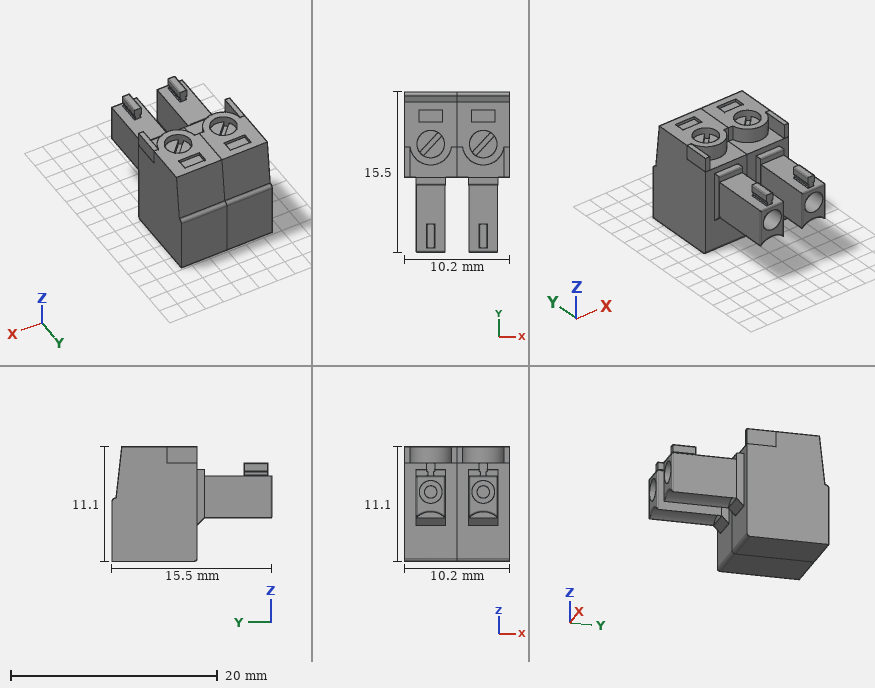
import cadquery as cq
import math


pitch = 5.08
block_height = 11.1
block_depth = 8.25
bottom_front_radius = 0.3

back_slope_run = 0.95
ledge_run = 0.4
ledge_height = 6.16
ledge_slope = 15
ledge_radius = 0.38

step_depth = 1.56
step_length = 2.93
step_floor = block_height - step_depth
end_wall = 0.52

screw_setback = 3.21
tower_radius = pitch / 2 - end_wall
screw_diameter = 2.66
screw_recess = 0.7
slot_width = 0.5
slot_depth = 0.5
slot_angle = 47

label_width = 2.3
label_length = 1.2
label_depth = 0.3
label_setback = 5.93

collar_width = 2.86
collar_length = 0.73
collar_top = 8.92
collar_edge_radius = 0.1

shroud_width = 2.8
shroud_length = 7.25
shroud_top = 8.28
shroud_height = 4.05
shroud_bottom = shroud_top - shroud_height
end_radius = 0.1
groove_rise = 0.58

bore_diameter = 2.21
bore_height = 6.73
pin_diameter = 1.2
pin_recess = 1.5

key_length = 2.3
key_end_gap = 0.42
key_height = 1.24
key_width = 0.8
key_edge_radius = 0.1
key_neck_width = 0.54
key_neck_top = 0.365
key_head_bottom = 0.47
key_foot = 0.1


def block():
    """Plain housing block, extruded from its side profile."""
    ledge_corner = ledge_height - ledge_run * math.tan(math.radians(ledge_slope))
    profile = (
        cq.Workplane("YZ")
        .moveTo(0, 0)
        .lineTo(block_depth, 0)
        .lineTo(block_depth, ledge_corner)
        .lineTo(block_depth - ledge_run, ledge_height)
        .lineTo(block_depth - back_slope_run, block_height)
        .lineTo(0, block_height)
        .close()
    )
    body = profile.extrude(pitch / 2, both=True)
    body = body.faces(">Y").edges(">Z").fillet(ledge_radius)
    return body.faces("<Y").edges("<Z").fillet(bottom_front_radius)


def step_cut():
    """Space removed across the whole top front, except for the round screw tower."""
    cut = cq.Workplane("XY", origin=(0, 0, step_floor)).box(
        pitch, step_length, step_depth, centered=(True, False, False)
    )
    tower = (
        cq.Workplane("XY", origin=(0, screw_setback, step_floor))
        .circle(tower_radius)
        .extrude(step_depth)
    )
    return cut.cut(tower)


def label_pocket():
    return cq.Workplane("XY", origin=(0, label_setback, block_height - label_depth)).box(
        label_width, label_length, label_depth, centered=(True, True, False)
    )


def screw_well():
    return (
        cq.Workplane("XY", origin=(0, screw_setback, block_height - screw_recess))
        .circle(screw_diameter / 2)
        .extrude(screw_recess)
    )


def collar():
    """Collar whose underside slopes at 45 degrees from the shroud back to the block."""
    body = (
        cq.Workplane("YZ")
        .polyline([
            (0, collar_top),
            (-collar_length, collar_top),
            (-collar_length, shroud_bottom),
            (0, shroud_bottom - collar_length),
        ])
        .close()
        .extrude(collar_width / 2, both=True)
    )
    return body.faces("<Y").edges(">Z").fillet(collar_edge_radius)


def shroud():
    """Plug shroud with an arched underside and a rounded front rim."""
    half_width = shroud_width / 2
    body = (
        cq.Workplane("XZ")
        .moveTo(-half_width, shroud_bottom)
        .threePointArc((0, shroud_bottom + groove_rise), (half_width, shroud_bottom))
        .lineTo(half_width, shroud_top)
        .lineTo(-half_width, shroud_top)
        .close()
        .extrude(shroud_length)
    )
    return body.faces("<Y").edges().fillet(end_radius)


def coding_key():
    """Key with a narrow neck that flares out at its foot."""
    half_head = key_width / 2
    half_neck = key_neck_width / 2
    right_side = [
        (half_neck + key_foot, 0),
        (half_neck, key_foot),
        (half_neck, key_neck_top),
        (half_head, key_head_bottom),
        (half_head, key_height),
    ]
    left_side = [(-x, z) for x, z in reversed(right_side)]
    key_back = shroud_length - key_end_gap - key_length
    key = (
        cq.Workplane("XZ", origin=(0, -key_back, shroud_top))
        .polyline(right_side + left_side)
        .close()
        .extrude(key_length)
    )
    return key.faces(">Z").edges("|Y").fillet(key_edge_radius)


def shroud_bore():
    return (
        cq.Workplane("XZ", origin=(0, 0, bore_height))
        .circle(bore_diameter / 2)
        .extrude(shroud_length)
    )


def contact_blank():
    """Screw and pin before slotting: the pin runs back under the screw and joins it."""
    head_top = block_height - screw_recess
    screw = (
        cq.Workplane("XY", origin=(0, screw_setback, bore_height))
        .circle(screw_diameter / 2)
        .extrude(head_top - bore_height)
    )
    pin_tip = pin_recess - shroud_length
    pin = (
        cq.Workplane("XZ", origin=(0, screw_setback, bore_height))
        .circle(pin_diameter / 2)
        .extrude(screw_setback - pin_tip)
    )
    return screw.union(pin)


def driver_slot():
    slot_floor = block_height - screw_recess - slot_depth
    return (
        cq.Workplane("XY", origin=(0, screw_setback, slot_floor))
        .transformed(rotate=(0, 0, slot_angle))
        .box(2 * screw_diameter, slot_width, slot_depth, centered=(True, True, False))
    )


def contact():
    """Metal contact of one pole: clamping screw with a diagonal slot, and round pin."""
    return contact_blank().cut(driver_slot())


def housing():
    """Insulating housing of one pole, with a cavity that fits the contact."""
    body = block().cut(step_cut()).cut(label_pocket()).cut(screw_well())
    body = body.union(collar()).union(shroud()).union(coding_key())
    return body.cut(shroud_bore()).cut(contact_blank())


def step_end_wall(outer_side):
    """Thin wall on the step; outer_side is -1 or +1, the X side of the pole it closes."""
    wall_center = outer_side * (pitch - end_wall) / 2
    return cq.Workplane("XY", origin=(wall_center, 0, step_floor)).box(
        end_wall, step_length, step_depth, centered=(True, False, False)
    )


bodies = []
for side in (-1, 1):
    pole_place = (side * pitch / 2, 0, 0)
    for pole_part in (housing(), contact(), step_end_wall(side)):
        bodies.extend(pole_part.translate(pole_place).solids().vals())

result = cq.Compound.makeCompound(bodies)